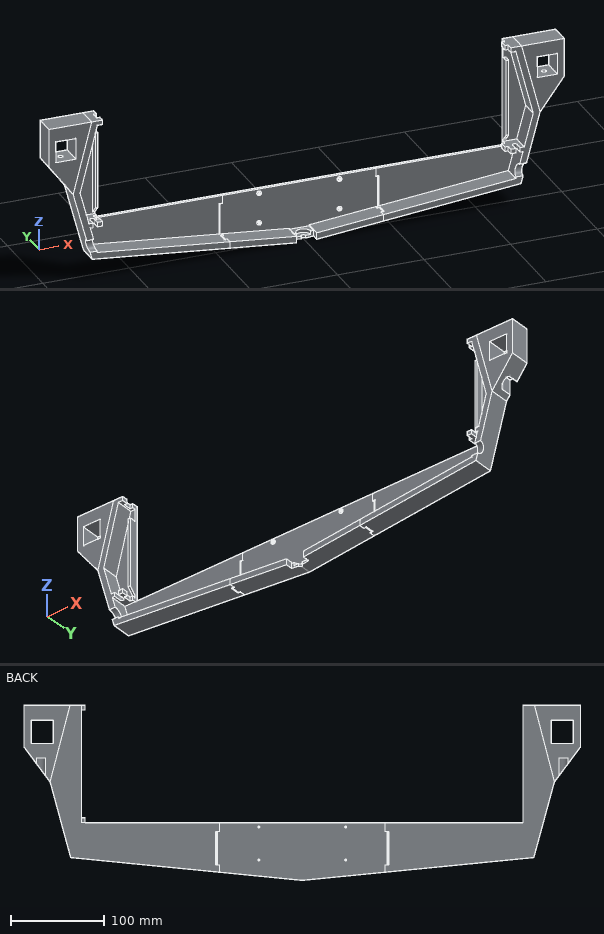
import cadquery as cq
import math

HALF_WIDTH = 298.0
DEPTH = 25.0
HEIGHT = 188.0

WALL = 8.0
FLOOR = 3.5
FLANGE = 5.5
ARM_TOP_X = 248.5
KNEE_X = 270.0
KNEE_Z = 105.5
CORNER_X = 248.0
CORNER_Z = 24.5
ARM_INNER_X = 236.0
TRAY_TOP_Z = 62.0
SHELF_TOP_Z = TRAY_TOP_Z + FLANGE

RIB_WIDTH = 3.0
RIB_HEIGHT = 8.5
RIB_TOP_Z = 167.0
RIB_BOTTOM_Z = 70.0

TAB_LENGTH = 3.5
TAB_WIDTH = 9.5

CABLE_DIAMETER = 14.5
CABLE_Z = 40.5

SCREW_DIAMETER = 5.0
SCREW_SETBACK = 9.0
SHELF_SCREW_X = 244.5

SEAM_X = 89.0
TONGUE_LENGTH = 2.5
TONGUE_GAP = 1.0
TONGUE_TOP_Z = 52.5
TONGUE_WIDTH = 11.0
BOSS_X = 46.5
BOSS_HIGH_Z = 57.0
BOSS_LOW_Z = 22.0
BOSS_HEIGHT = 1.0
BOSS_HOLE_DIAMETER = 1.6

GAP_WIDTH = 23.0
COUNTERBORE_DIAMETER = 16.5
COUNTERBORE_DEPTH = 4.0

BLOCK_SIDE_BOTTOM_Z = 143.0
WINDOW_X = 278.5
WINDOW_Z = 159.0
WINDOW_WIDTH = 23.0
WINDOW_HEIGHT = 24.5
BLOCK_SCREW_X = 279.5
HEAD_DIAMETER = 9.5
HEAD_RECESS_TOP_Z = 131.0

MIDDLE_Y = DEPTH / 2
FLOOR_FRONT_Y = DEPTH - FLOOR


def box(x_range, y_range, z_range):
    """Upright box between pairs of limits."""
    (x0, x1), (y0, y1), (z0, z1) = x_range, y_range, z_range
    return cq.Workplane("XY").box(x1 - x0, y1 - y0, z1 - z0, centered=False).translate((x0, y0, z0))


def plate(points, front_y, back_y):
    """Extrude an outline of (x, z) points from front_y to back_y."""
    sketch = cq.Workplane("XZ", origin=(0, front_y, 0)).polyline(points).close()
    return sketch.extrude(front_y - back_y)


def upright_cylinder(x, y, z0, z1, diameter):
    return cq.Workplane("XY", origin=(x, y, z0)).circle(diameter / 2).extrude(z1 - z0)


def mirrored(body):
    return body.mirror("YZ")


def x_on_line(start, end, z):
    """X at height z on the straight line through two (x, z) points."""
    return start[0] + (end[0] - start[0]) * (z - start[1]) / (end[1] - start[1])


ARM_TOP = (ARM_TOP_X, HEIGHT)
KNEE = (KNEE_X, KNEE_Z)
CORNER = (CORNER_X, CORNER_Z)
LOWEST = (0, 0)

UPPER_SHIFT = WALL * math.hypot(KNEE_X - ARM_TOP_X, HEIGHT - KNEE_Z) / (HEIGHT - KNEE_Z)
LOWER_SHIFT = WALL * math.hypot(KNEE_X - CORNER_X, KNEE_Z - CORNER_Z) / (KNEE_Z - CORNER_Z)
BOTTOM_SHIFT = WALL * math.hypot(CORNER_X, CORNER_Z) / CORNER_X
BOTTOM_SLOPE = CORNER_Z / CORNER_X


def inner_upper_x(z):
    return x_on_line(ARM_TOP, KNEE, z) - UPPER_SHIFT


def inner_lower_x(z):
    return x_on_line(KNEE, CORNER, z) - LOWER_SHIFT


def inner_knee():
    """Point where the inner edges of the two arm walls cross."""
    upper_run = (ARM_TOP_X - KNEE_X) / (HEIGHT - KNEE_Z)
    lower_run = (KNEE_X - CORNER_X) / (KNEE_Z - CORNER_Z)
    z = KNEE_Z + (UPPER_SHIFT - LOWER_SHIFT) / (upper_run - lower_run)
    return (inner_lower_x(z), z)


def inner_corner():
    """Point where the inner edges of the arm wall and the tray bottom cross."""
    run = (KNEE_X - CORNER_X) / (KNEE_Z - CORNER_Z)
    x_at_zero = inner_lower_x(0)
    z = (BOTTOM_SHIFT + BOTTOM_SLOPE * x_at_zero) / (1 - BOTTOM_SLOPE * run)
    return (inner_lower_x(z), z)


def right_half_frame():
    """Right arm and right half of the tray, open at the front."""
    inner_end = [(ARM_INNER_X, HEIGHT), (ARM_INNER_X, TRAY_TOP_Z), (0, TRAY_TOP_Z)]
    outline = [LOWEST, CORNER, KNEE, ARM_TOP, *inner_end]
    pocket_top = HEIGHT - FLANGE
    arm_pocket = [
        (inner_upper_x(pocket_top), pocket_top),
        inner_knee(),
        (inner_lower_x(SHELF_TOP_Z), SHELF_TOP_Z),
        (ARM_INNER_X, SHELF_TOP_Z),
        (ARM_INNER_X, pocket_top),
    ]
    tray_pocket = [
        (0, BOTTOM_SHIFT),
        inner_corner(),
        (inner_lower_x(TRAY_TOP_Z), TRAY_TOP_Z),
        (0, TRAY_TOP_Z),
    ]
    frame = plate(outline, 0, DEPTH)
    frame = frame.cut(plate(arm_pocket, 0, FLOOR_FRONT_Y))
    return frame.cut(plate(tray_pocket, 0, FLOOR_FRONT_Y))


def rib():
    """Rib on the inner edge of the right arm, with a 45 degree underside."""
    front_y = FLOOR_FRONT_Y - RIB_HEIGHT
    profile = [
        (FLOOR_FRONT_Y, RIB_TOP_Z),
        (front_y, RIB_TOP_Z),
        (front_y, RIB_BOTTOM_Z + RIB_HEIGHT),
        (FLOOR_FRONT_Y, RIB_BOTTOM_Z),
    ]
    sketch = cq.Workplane("YZ", origin=(ARM_INNER_X, 0, 0)).polyline(profile).close()
    return sketch.extrude(RIB_WIDTH)


def cable_notch():
    """Half-round notch through the outer wall at the front."""
    start_x = inner_corner()[0]
    sketch = cq.Workplane("YZ", origin=(start_x, 0, CABLE_Z)).circle(CABLE_DIAMETER / 2)
    return sketch.extrude(HALF_WIDTH - start_x)


def shelf_slot():
    """Round-ended screw slot from the front of the shelf."""
    radius = SCREW_DIAMETER / 2
    z_range = (TRAY_TOP_Z, SHELF_TOP_Z)
    straight = box((SHELF_SCREW_X - radius, SHELF_SCREW_X + radius), (0, SCREW_SETBACK), z_range)
    return straight.union(upright_cylinder(SHELF_SCREW_X, SCREW_SETBACK, *z_range, SCREW_DIAMETER))


def end_tabs(x0, x1):
    """Boxes at the inner ends of the top flange and the shelf."""
    y_range = (MIDDLE_Y - TAB_WIDTH / 2, MIDDLE_Y + TAB_WIDTH / 2)
    upper = box((x0, x1), y_range, (HEIGHT - FLANGE, HEIGHT))
    lower = box((x0, x1), y_range, (TRAY_TOP_Z, SHELF_TOP_Z))
    return upper, lower


def tongues(length):
    """Tongues on the right edge of the centre plate: one on the back plate, one on the tray bottom."""
    x_range = (SEAM_X, SEAM_X + length)
    back = box(x_range, (FLOOR_FRONT_Y, DEPTH), (BOTTOM_SHIFT + BOTTOM_SLOPE * SEAM_X, TONGUE_TOP_Z))
    y_range = (MIDDLE_Y - TONGUE_WIDTH / 2, MIDDLE_Y + TONGUE_WIDTH / 2)
    bottom = box(x_range, y_range, (0, TRAY_TOP_Z))
    return back.union(bottom)


def wing():
    """Right wing: arm and outer part of the tray, without tabs or notches at the inner ends."""
    centre_zone = box((0, SEAM_X), (0, DEPTH), (0, HEIGHT))
    body = right_half_frame().cut(centre_zone).union(rib())
    body = body.cut(cable_notch()).cut(shelf_slot())
    return body.cut(tongues(TONGUE_LENGTH + TONGUE_GAP))


def right_wing():
    body = wing()
    for tab in end_tabs(ARM_INNER_X - TAB_LENGTH, ARM_INNER_X):
        body = body.union(tab)
    return body


def left_wing():
    body = wing()
    for notch in end_tabs(ARM_INNER_X, ARM_INNER_X + TAB_LENGTH):
        body = body.cut(notch)
    return mirrored(body)


def centre_plate():
    """Middle of the tray with tongues, screw bosses and a gap with a counterbored hole at its back."""
    frame = right_half_frame()
    half = frame.intersect(box((0, SEAM_X), (0, DEPTH), (0, HEIGHT)))
    half = half.union(frame.intersect(tongues(TONGUE_LENGTH)))
    body = half.union(mirrored(half))
    for x in (-BOSS_X, BOSS_X):
        for z in (BOSS_LOW_Z, BOSS_HIGH_Z):
            spot = cq.Workplane("XZ", origin=(x, FLOOR_FRONT_Y, z))
            body = body.union(spot.circle(SCREW_DIAMETER / 2).extrude(BOSS_HEIGHT))
            hole = cq.Workplane("XZ", origin=(x, DEPTH, z)).circle(BOSS_HOLE_DIAMETER / 2)
            body = body.cut(hole.extrude(FLOOR + BOSS_HEIGHT))
    gap_x = (-GAP_WIDTH / 2, GAP_WIDTH / 2)
    gap = box(gap_x, (0, SCREW_SETBACK), (0, TRAY_TOP_Z))
    seat = box(gap_x, (0, FLOOR_FRONT_Y), (BOTTOM_SHIFT, TRAY_TOP_Z))
    bore = upright_cylinder(0, SCREW_SETBACK, 0, TRAY_TOP_Z, SCREW_DIAMETER)
    bore_floor_z = BOTTOM_SHIFT - COUNTERBORE_DEPTH
    counterbore = upright_cylinder(0, SCREW_SETBACK, bore_floor_z, TRAY_TOP_Z, COUNTERBORE_DIAMETER)
    return body.cut(gap).cut(seat).cut(bore).cut(counterbore)


def mounting_block():
    """Right mounting block: window, upright screw hole and a round-ended recess for the screw head."""
    outline = [ARM_TOP, (HALF_WIDTH, HEIGHT), (HALF_WIDTH, BLOCK_SIDE_BOTTOM_Z), KNEE]
    body = plate(outline, 0, DEPTH)
    half_window = WINDOW_WIDTH / 2
    window_z = (WINDOW_Z - WINDOW_HEIGHT / 2, WINDOW_Z + WINDOW_HEIGHT / 2)
    window = box((WINDOW_X - half_window, WINDOW_X + half_window), (0, DEPTH), window_z)
    screw_hole = upright_cylinder(BLOCK_SCREW_X, MIDDLE_Y, KNEE_Z, WINDOW_Z, SCREW_DIAMETER)
    head_radius = HEAD_DIAMETER / 2
    head_z = (KNEE_Z, HEAD_RECESS_TOP_Z)
    recess = box((BLOCK_SCREW_X - head_radius, BLOCK_SCREW_X + head_radius), (MIDDLE_Y, DEPTH), head_z)
    recess = recess.union(upright_cylinder(BLOCK_SCREW_X, MIDDLE_Y, *head_z, HEAD_DIAMETER))
    return body.cut(window).cut(screw_hole).cut(recess)


block = mounting_block()
blocks = [block, mirrored(block)]
wings = [left_wing(), right_wing()]
centre = centre_plate()

result = cq.Compound.makeCompound([body.val() for body in [centre, *wings, *blocks]])